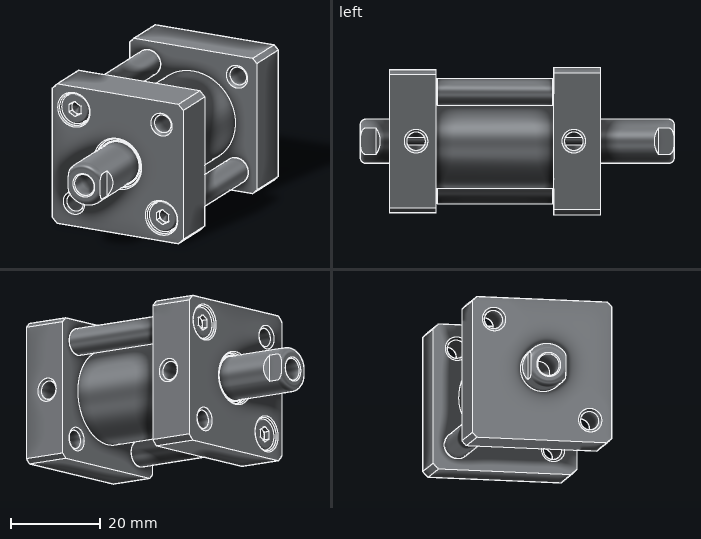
import cadquery as cq
import math

length = 70.2
plate_thickness = 10.45
front_stroke_end = 16.5
rear_stroke_end = 6.5

front_face = -length / 2 + front_stroke_end
front_inner = front_face + plate_thickness
rear_face = length / 2 - rear_stroke_end
rear_inner = rear_face - plate_thickness

front_side = 33.0
front_corner_diameter = 44.9
rear_side = 32.0
rear_corner_chamfer = 1.05
corner_offset = 11.0
mount_hole_diameter = 4.15
mount_hole_mouth = 5.35
mount_corners = [(1, 1), (-1, -1)]
tie_corners = [(-1, 1), (1, -1)]

port_diameter = 4.15
port_mouth = 5.3
port_inset = 4.5
port_depth = 7.0
passage_diameter = 1.75
passage_length = 8.4

tube_outer = 21.3
tube_inner = 20.0

rod_diameter = 10.0
rod_end_radius = 1.3
flat_width = 8.0
flat_length = 3.5
rod_bore_diameter = 4.9
rod_bore_mouth = 5.5
rod_bore_depth = 9.8

seal_diameter = 11.4
seal_lip_diameter = 10.45
seal_mouth = 12.0
seal_sink = 0.7
seal_pocket_depth = 2.8

tie_diameter = 6.05
tie_end_chamfer = 0.2
tie_gap = 0.1

head_diameter = 7.0
head_face_diameter = 6.05
head_height = 2.1
head_sink = 0.5
head_bore_diameter = 7.5
head_bore_mouth = 8.15
socket_flats = 3.0
socket_depth = 1.4

drill_tip_angle = 118.0


def cylinder_y(diameter, y_start, y_end, x=0.0, z=0.0):
    """Cylinder parallel to Y between two Y positions."""
    base = cq.Vector(x, y_start, z)
    return cq.Workplane(cq.Solid.makeCylinder(diameter / 2, y_end - y_start, base, cq.Vector(0, 1, 0)))


def cone(start_diameter, end_diameter, height, origin, direction):
    """Cone or truncated cone that starts at the origin and runs along the direction."""
    base = cq.Vector(*origin)
    axis = cq.Vector(*direction)
    return cq.Workplane(cq.Solid.makeCone(start_diameter / 2, end_diameter / 2, height, base, axis))


def mouth(wide, narrow, origin, direction):
    """45 degree countersink that narrows along the given direction."""
    return cone(wide, narrow, (wide - narrow) / 2, origin, direction)


def drill_tip(diameter, origin, direction):
    """Conical bottom of a drilled hole."""
    height = diameter / 2 / math.tan(math.radians(drill_tip_angle / 2))
    return cone(diameter, 0, height, origin, direction)


def port(plate_side, y):
    """Countersunk port drilled along X from the -X side of a plate."""
    surface = -plate_side / 2
    bottom = surface + port_depth
    inward = (1, 0, 0)
    base = cq.Vector(surface, y, 0)
    bore = cq.Workplane(cq.Solid.makeCylinder(port_diameter / 2, port_depth, base, cq.Vector(*inward)))
    bore = bore.union(mouth(port_mouth, port_diameter, (surface, y, 0), inward))
    return bore.union(drill_tip(port_diameter, (bottom, y, 0), inward))


def passage(plate_side, y_start, y_end):
    """Air passage from the tube end of a plate across the port bottom."""
    return cylinder_y(passage_diameter, y_start, y_end, port_depth - plate_side / 2)


def mount_hole(y_start, y_end, x, z):
    """Through hole countersunk at both ends."""
    hole = cylinder_y(mount_hole_diameter, y_start, y_end, x, z)
    hole = hole.union(mouth(mount_hole_mouth, mount_hole_diameter, (x, y_start, z), (0, 1, 0)))
    return hole.union(mouth(mount_hole_mouth, mount_hole_diameter, (x, y_end, z), (0, -1, 0)))


def screw_head_recess(x, z):
    """Ring-shaped recess around a sunk socket head that stays part of the plate."""
    head_face = front_face + head_sink
    recess_floor = head_face + head_height
    head = cylinder_y(head_diameter, head_face, recess_floor, x, z)
    head = head.faces("<Y").edges().fillet((head_diameter - head_face_diameter) / 2)
    recess = cylinder_y(head_bore_diameter, front_face, recess_floor, x, z).cut(head)
    recess = recess.union(mouth(head_bore_mouth, head_bore_diameter, (x, front_face, z), (0, 1, 0)).cut(head))
    socket = (
        cq.Workplane("XZ", origin=(x, head_face, z))
        .transformed(rotate=(0, 0, 30))
        .polygon(6, socket_flats / math.cos(math.pi / 6))
        .extrude(-socket_depth)
    )
    socket_tip = drill_tip(socket_flats, (x, head_face + socket_depth, z), (0, 1, 0))
    return recess.union(socket).union(socket_tip)


def square_plate(side, y_start, y_end):
    """Square block centred on the rod axis."""
    return cq.Workplane("XY").box(side, y_end - y_start, side).translate((0, (y_start + y_end) / 2, 0))


def make_front_plate():
    plate = square_plate(front_side, front_face, front_inner)
    plate = plate.intersect(cylinder_y(front_corner_diameter, front_face, front_inner))
    plate = plate.cut(port(front_side, front_inner - port_inset))
    plate = plate.cut(passage(front_side, front_inner - passage_length, front_inner))
    plate = plate.cut(cylinder_y(rod_diameter, front_face, front_inner))
    plate = plate.cut(cylinder_y(seal_diameter, front_face, front_face + seal_pocket_depth))
    plate = plate.cut(mouth(seal_mouth, seal_diameter, (0, front_face, 0), (0, 1, 0)))
    for i, k in mount_corners:
        plate = plate.cut(mount_hole(front_face, front_inner, i * corner_offset, k * corner_offset))
    for i, k in tie_corners:
        plate = plate.cut(screw_head_recess(i * corner_offset, k * corner_offset))
    return plate


def make_rear_plate():
    plate = square_plate(rear_side, rear_inner, rear_face).edges("|Y").chamfer(rear_corner_chamfer)
    plate = plate.cut(port(rear_side, rear_inner + port_inset))
    plate = plate.cut(passage(rear_side, rear_inner, rear_inner + passage_length))
    plate = plate.cut(cylinder_y(rod_diameter, rear_inner, rear_face))
    for i, k in mount_corners:
        plate = plate.cut(mount_hole(rear_inner, rear_face, i * corner_offset, k * corner_offset))
    return plate


def make_tube():
    return cylinder_y(tube_outer, front_inner, rear_inner).cut(cylinder_y(tube_inner, front_inner, rear_inner))


def wrench_flats(end):
    """Two flats with 45 degree run-outs; end is -1 for the front tip and 1 for the rear tip."""
    half = flat_width / 2
    outside = rod_diameter
    tip = end * length / 2
    shoulder = tip - end * flat_length
    runout = shoulder - end * (outside - half)
    profile = [(half, tip), (outside, tip), (outside, runout), (half, shoulder)]
    flat = cq.Workplane("XY").polyline(profile).close().extrude(rod_diameter / 2, both=True)
    return flat.union(flat.mirror("YZ"))


def make_piston_rod():
    rod = cylinder_y(rod_diameter, -length / 2, length / 2).edges("%CIRCLE").fillet(rod_end_radius)
    for end in (-1, 1):
        tip = end * length / 2
        inward = (0, -end, 0)
        bottom = tip - end * rod_bore_depth
        bore = cylinder_y(rod_bore_diameter, min(tip, bottom), max(tip, bottom))
        rod = rod.cut(wrench_flats(end))
        rod = rod.cut(bore)
        rod = rod.cut(mouth(rod_bore_mouth, rod_bore_diameter, (0, tip, 0), inward))
        rod = rod.cut(drill_tip(rod_bore_diameter, (0, bottom, 0), inward))
    return rod


def make_seal():
    """Ring around the rod with a conical lip at its front."""
    lip = (seal_diameter - seal_lip_diameter) / 2
    seal_front = front_face + seal_sink
    seal_back = front_face + seal_pocket_depth
    seal = cylinder_y(seal_diameter, seal_front, seal_back)
    seal = seal.faces("<Y").edges().chamfer(lip)
    return seal.cut(cylinder_y(rod_diameter, seal_front, seal_back))


def make_tie_bar(x, z):
    """Plain round bar between the plates, with a small clearance at each end."""
    bar = cylinder_y(tie_diameter, front_inner + tie_gap, rear_inner - tie_gap, x, z)
    return bar.edges("%CIRCLE").chamfer(tie_end_chamfer)


front_plate = make_front_plate()
rear_plate = make_rear_plate()
tube = make_tube()
piston_rod = make_piston_rod()
seal = make_seal()
tie_bars = [make_tie_bar(i * corner_offset, k * corner_offset) for i, k in tie_corners]

result = cq.Compound.makeCompound(
    [
        front_plate.val(),
        rear_plate.val(),
        tube.val(),
        piston_rod.val(),
        seal.val(),
        *[tie_bar.val() for tie_bar in tie_bars],
    ]
)